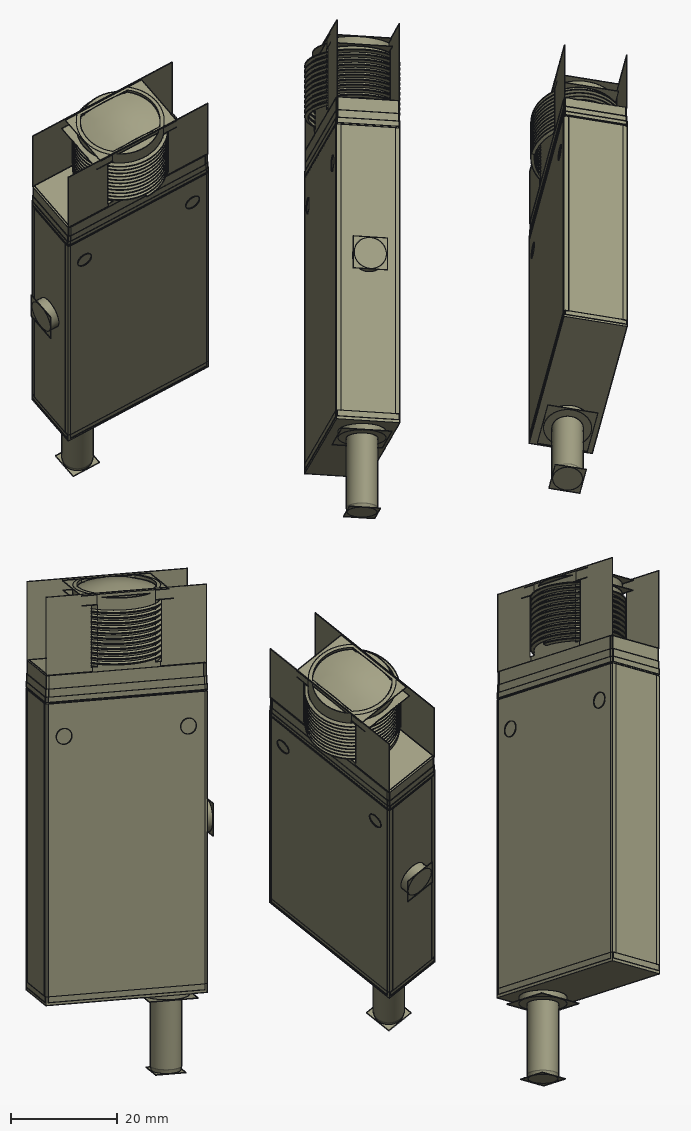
import cadquery as cq
import math


total_height = 95.85
body_width = 12.3
body_depth = 31.9
foil = 0.1
edge_step = 0.6
shallow_step = 0.2
corner_step_x = 0.3
housing_corner_step_x = 1.0
layer_width_step = 0.1

cap_bottom = 16.1
housing_bottom = 17.8
housing_top = 74.6
lip_bottom = 75.9
shoulder_bottom = 77.4
shoulder_top = 80.0
thread_bottom = 81.0
thread_top = 93.0
deck_top = 95.0
cheek_top = 95.3

groove_height = 0.3
neck_radius = 8.2
collar_radius = 8.9
lower_deck_depth = 17.9
lower_deck_offset = -0.3
upper_deck_depth = 17.3
upper_deck_offset = 0.2
window_clearance = 0.2

thread_pitch = 1.0
thread_root_width = 0.7
thread_crest_width = 0.2
thread_end_gap = 0.1
thread_root_clearance = 0.02

lens_radius = 7.5
lens_flat_width = 10.6
lens_flange_top = 94.4

recess_radius = 1.5
recess_depth = 0.2
recess_z = 68.1
recess_y_front = -12.2
recess_y_back = 12.3

button_radius = 3.1
button_length = 2.0
button_z = 48.7
button_plate_width = 6.5
button_plate_height = 6.3

cable_y = -9.7
cable_radius = 3.0
cable_chamfer_radial = 0.2
cable_chamfer_length = 0.9
gland_radius = 4.5
gland_bottom = 14.8
gland_plate_width = 9.6


def slab(width, depth, bottom, top, y=0.0):
    """Box centred on X, from level bottom to level top."""
    return cq.Workplane("XY", origin=(0, y, bottom)).rect(width, depth).extrude(top - bottom)


def cylinder(radius, bottom, top, y=0.0):
    return cq.Workplane("XY", origin=(0, y, bottom)).circle(radius).extrude(top - bottom)


def flatted_cylinder(radius, width, bottom, top):
    """Cylinder on the head axis with two flats that leave the given X width."""
    return cylinder(radius, bottom, top).intersect(slab(width, 2 * radius, bottom, top))


def stepped_slab(width, depth, bottom, top, step_x):
    """Box whose four vertical corners are recessed by the foil thickness along both faces."""
    core = slab(width - 2 * foil, depth - 2 * foil, bottom, top)
    broad = slab(width, depth - 2 * edge_step, bottom, top)
    deep = slab(width - 2 * step_x, depth, bottom, top)
    return core.union(broad).union(deep)


def make_housing():
    housing = stepped_slab(body_width, body_depth, housing_bottom, housing_top, housing_corner_step_x)
    for side in (-1, 1):
        for recess_y in (recess_y_front, recess_y_back):
            recess = (
                cq.Workplane("YZ", origin=(side * body_width / 2, recess_y, recess_z))
                .circle(recess_radius)
                .extrude(-side * recess_depth)
            )
            housing = housing.cut(recess)
    return housing


def make_end_cap():
    cap = stepped_slab(body_width, body_depth, cap_bottom + edge_step, housing_bottom, corner_step_x)
    base = slab(body_width - 2 * foil, body_depth - 2 * foil, cap_bottom, cap_bottom + edge_step)
    return cap.union(base)


def make_head(lens):
    groove_top = housing_top + groove_height
    head = slab(body_width - 2 * corner_step_x, body_depth - shallow_step, housing_top, groove_top)
    layers = ((groove_top, lip_bottom), (lip_bottom, shoulder_bottom), (shoulder_bottom, shoulder_top))
    for index, (bottom, top) in enumerate(layers):
        depth = body_depth - index * shallow_step
        width = body_width - index * layer_width_step
        head = head.union(stepped_slab(width, depth, bottom, top, corner_step_x))

    neck_width = body_width - len(layers) * layer_width_step
    pad_depth = body_depth - 2 * edge_step
    head = head.union(slab(neck_width, pad_depth, shoulder_top, shoulder_top + foil))

    head = head.union(flatted_cylinder(collar_radius, neck_width, shoulder_top, thread_bottom))
    head = head.union(flatted_cylinder(neck_radius, neck_width, thread_bottom, deck_top))

    lower_deck = slab(neck_width, lower_deck_depth, thread_top, thread_top + foil, lower_deck_offset)
    upper_deck = slab(neck_width, upper_deck_depth, deck_top - foil, deck_top, upper_deck_offset)
    head = head.union(lower_deck).union(upper_deck)

    inner_half_width = neck_width / 2 - foil
    window_half = math.sqrt(collar_radius**2 - inner_half_width**2) + window_clearance
    cheek_depth = body_depth - 2 * shallow_step
    cheeks = slab(neck_width, cheek_depth, shoulder_top, cheek_top).cut(
        slab(2 * inner_half_width, cheek_depth, shoulder_top, cheek_top)
    )
    cheeks = cheeks.cut(slab(neck_width, 2 * window_half, thread_bottom, thread_top))
    head = head.union(cheeks)

    seat = flatted_cylinder(lens_radius, lens_flat_width, lens_flange_top, deck_top)
    return head.cut(seat).cut(lens)


def make_thread_ring():
    """Helical ridge that fits closely around the neck and stands clear of its flats."""
    root_radius = neck_radius + thread_root_clearance
    helix_bottom = thread_bottom + thread_end_gap + thread_root_width / 2
    helix_height = thread_top - thread_end_gap - thread_root_width / 2 - helix_bottom
    helix = cq.Wire.makeHelix(thread_pitch, helix_height, root_radius).translate((0, 0, helix_bottom))
    half_root = thread_root_width / 2
    half_crest = thread_crest_width / 2
    return (
        cq.Workplane("XZ", origin=(0, 0, helix_bottom))
        .moveTo(root_radius, -half_root)
        .lineTo(collar_radius, -half_crest)
        .lineTo(collar_radius, half_crest)
        .lineTo(root_radius, half_root)
        .close()
        .sweep(cq.Workplane(helix), isFrenet=True)
    )


def make_lens():
    """Spherical dome with two flats on a thin round flange."""
    flange_bottom = lens_flange_top - foil
    flange = cylinder(lens_radius, flange_bottom, lens_flange_top)
    dome_height = total_height - lens_flange_top
    sphere_radius = (lens_radius**2 + dome_height**2) / (2 * dome_height)
    ball = cq.Workplane("XY", origin=(0, 0, total_height - sphere_radius)).sphere(sphere_radius)
    dome = ball.intersect(slab(lens_flat_width, 2 * lens_radius, lens_flange_top, total_height))
    return flange.union(dome)


def make_button():
    """Round button ending in a thin square plate."""
    face = cq.Workplane("XZ", origin=(0, -body_depth / 2, button_z))
    shaft = face.circle(button_radius).extrude(button_length)
    plate = (
        face.workplane(offset=button_length - foil)
        .rect(button_plate_width, button_plate_height)
        .extrude(foil)
    )
    return shaft.union(plate)


def make_gland():
    gland = cylinder(gland_radius, gland_bottom, cap_bottom, cable_y)
    plate = slab(gland_plate_width, gland_plate_width, gland_bottom, gland_bottom + foil, cable_y)
    return gland.union(plate)


def make_cable():
    """Cable stub with a chamfered end and a thin square end plate."""
    stub = (
        cylinder(cable_radius, 0, gland_bottom, cable_y)
        .faces("<Z")
        .chamfer(cable_chamfer_length, cable_chamfer_radial)
    )
    return stub.union(slab(2 * cable_radius, 2 * cable_radius, 0, foil, cable_y))


housing = make_housing()
end_cap = make_end_cap()
lens = make_lens()
head = make_head(lens)
thread_ring = make_thread_ring()
button = make_button()
gland = make_gland()
cable = make_cable()

bodies = [housing, end_cap, head, thread_ring, lens, button, gland, cable]
result = cq.Compound.makeCompound([body.val() for body in bodies])